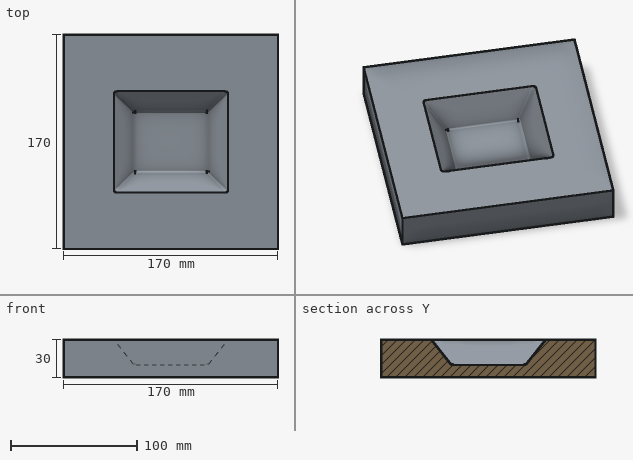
import cadquery as cq

side = 170.0
thickness = 30.0

opening_x = 90.6
opening_y = 80.4
pocket_depth = 20.0
wall_run = 16.0
rim_corner_radius = 2.7
floor_corner_radius = 1.5
floor_fillet = 2.9


def make_block():
    return cq.Workplane("XY").box(side, side, thickness, centered=(True, True, False))


def make_pocket():
    floor = cq.Sketch().rect(opening_x - 2 * wall_run, opening_y - 2 * wall_run)
    floor = floor.vertices().fillet(floor_corner_radius)
    rim = cq.Sketch().rect(opening_x, opening_y)
    rim = rim.vertices().fillet(rim_corner_radius)
    lofted = (
        cq.Workplane("XY")
        .workplane(offset=thickness - pocket_depth)
        .placeSketch(floor, rim.moved(cq.Location(cq.Vector(0, 0, pocket_depth))))
        .loft()
    )
    return lofted.faces("<Z").edges().fillet(floor_fillet)


result = make_block().cut(make_pocket())